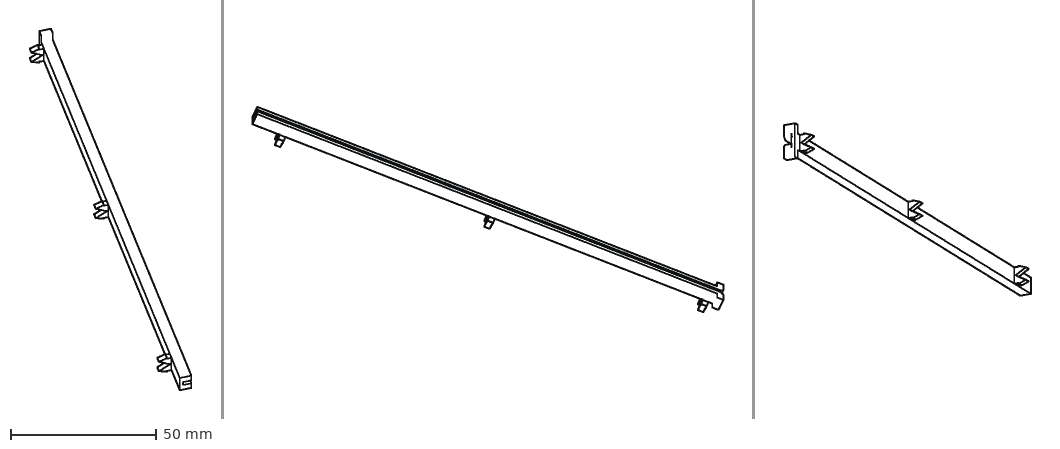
import cadquery as cq

LENGTH = 175.0
RAIL_HEIGHT = 6.0
RAIL_DEPTH = 4.2

HEAD_HEIGHT = 12.2
HEAD_THICKNESS = 2.5
HEAD_EDGE_RADIUS = 0.4

SLOT_WIDTH = 1.4
SLOT_DEPTH = 3.0
MOUTH_RADIUS = 1.8

CLIP_WIDTH = 2.1
CLIP_CENTERS = (4.9, 85.0, 163.6)
CLIP_REACH = 4.5
ROOT_THICKNESS = 0.5
BARB_OFFSET = 1.5
BARB_HALF_HEIGHT = 3.3
TIP_HALF_HEIGHT = 2.3


def make_rail():
    """Rail and cross head in one piece, with rounded head corners and a slot open to the back."""
    rail = cq.Workplane("XY").box(LENGTH, RAIL_DEPTH, RAIL_HEIGHT, centered=(False, False, True))
    head = cq.Workplane("XY").box(HEAD_THICKNESS, RAIL_DEPTH, HEAD_HEIGHT, centered=(False, False, True))
    rail_and_head = rail.union(head)
    across_depth = rail_and_head.edges("|Y")
    rounded_edges = across_depth.filter(lambda edge: edge.Center().x < HEAD_THICKNESS + HEAD_EDGE_RADIUS)
    return rounded_edges.fillet(HEAD_EDGE_RADIUS).cut(make_slot())


def make_slot():
    """Slot volume; two arcs widen it towards the -X end face."""
    half_width = SLOT_WIDTH / 2
    mouth_half_width = half_width + MOUTH_RADIUS
    return (
        cq.Workplane("XZ", origin=(0, RAIL_DEPTH, 0))
        .moveTo(0, mouth_half_width)
        .radiusArc((MOUTH_RADIUS, half_width), -MOUTH_RADIUS)
        .lineTo(LENGTH, half_width)
        .lineTo(LENGTH, -half_width)
        .lineTo(MOUTH_RADIUS, -half_width)
        .radiusArc((0, -mouth_half_width), -MOUTH_RADIUS)
        .close()
        .extrude(SLOT_DEPTH)
    )


def make_clip(center_x):
    """Clip seated on the front face of the rail, symmetric about Z = 0."""
    root_half_height = RAIL_HEIGHT / 2
    upper_prong = [
        (0, root_half_height),
        (-BARB_OFFSET, root_half_height),
        (-BARB_OFFSET, BARB_HALF_HEIGHT),
        (-CLIP_REACH, TIP_HALF_HEIGHT),
    ]
    lower_prong = [(y, -z) for y, z in reversed(upper_prong)]
    outline = upper_prong + [(-ROOT_THICKNESS, 0)] + lower_prong
    return (
        cq.Workplane("YZ", origin=(center_x, 0, 0))
        .polyline(outline)
        .close()
        .extrude(CLIP_WIDTH / 2, both=True)
    )


rail = make_rail()
clips = [make_clip(center_x) for center_x in CLIP_CENTERS]

result = cq.Compound.makeCompound([rail.val(), *[clip.val() for clip in clips]])